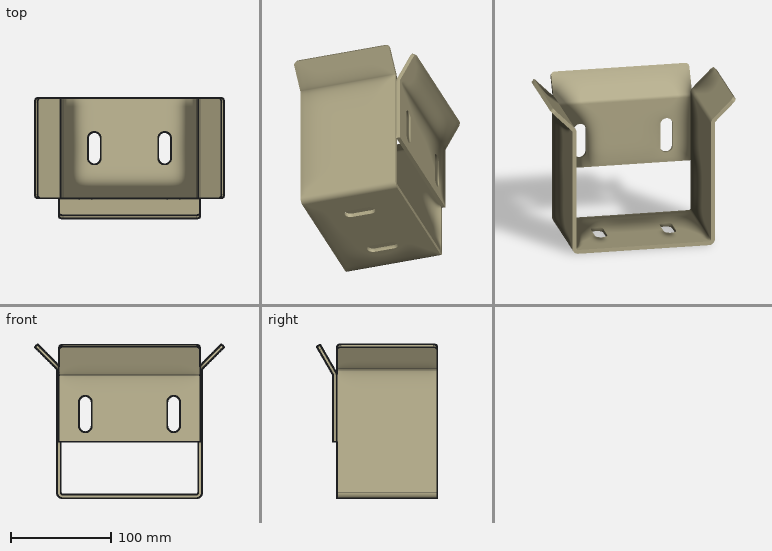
import cadquery as cq
import math

THICKNESS = 4.0
INNER_BEND_RADIUS = 2.0
OUTER_BEND_RADIUS = INNER_BEND_RADIUS + THICKNESS

CRADLE_WIDTH = 144.8
CRADLE_DEPTH = 100.0
TOTAL_HEIGHT = 153.48
CORNER_RADIUS = 4.0

SIDE_LIP_ANGLE = 45.0
SIDE_LIP_LENGTH = 30.16
FRONT_LIP_ANGLE = 30.0
FRONT_LIP_LENGTH = 31.84

PLATE_WIDTH = 140.5
PLATE_BOTTOM_Z = 56.2
PLATE_TOP_Z = 153.1
PLATE_FRONT_Y = -CRADLE_DEPTH / 2 - THICKNESS

SLOT_WIDTH = 12.5
PLATE_SLOT_LENGTH = 36.0
PLATE_SLOT_SPACING = 88.0
PLATE_SLOT_Z = 84.0
FLOOR_SLOT_LENGTH = 32.0
FLOOR_SLOT_SPACING = 70.0


def lip_bend_start(top, angle, length):
    """Height at which a wall starts to bend so that its lip ends at the given top height."""
    tilt = math.radians(angle)
    return top - OUTER_BEND_RADIUS * math.sin(tilt) - length * math.cos(tilt)


def flared_wall(bottom, top, angle, length, width):
    """Upright sheet whose top lip leans towards +X.

    The outer face lies on X = 0, the sheet is centred on Y, and the lip's free corners are rounded.
    """
    tilt = math.radians(angle)
    bend_start = lip_bend_start(top, angle, length)
    bend_axis_x = INNER_BEND_RADIUS

    def bend_point(radius, turn):
        return (bend_axis_x - radius * math.cos(turn), bend_start + radius * math.sin(turn))

    def lip_end(radius):
        x, z = bend_point(radius, tilt)
        return (x + length * math.sin(tilt), z + length * math.cos(tilt))

    wall = (
        cq.Workplane("XZ")
        .moveTo(-THICKNESS, bottom)
        .lineTo(0, bottom)
        .lineTo(0, bend_start)
        .threePointArc(bend_point(INNER_BEND_RADIUS, tilt / 2), bend_point(INNER_BEND_RADIUS, tilt))
        .lineTo(*lip_end(INNER_BEND_RADIUS))
        .lineTo(*lip_end(OUTER_BEND_RADIUS))
        .lineTo(*bend_point(OUTER_BEND_RADIUS, tilt))
        .threePointArc(bend_point(OUTER_BEND_RADIUS, tilt / 2), bend_point(OUTER_BEND_RADIUS, 0))
        .close()
        .extrude(width / 2, both=True)
    )
    lip_direction = cq.Vector(math.sin(tilt), 0, math.cos(tilt))
    lip_end_face = wall.faces(cq.selectors.DirectionMinMaxSelector(lip_direction))
    return lip_end_face.edges("#Y").fillet(CORNER_RADIUS)


def bent_floor():
    """Floor with a rounded bend at each side, up to where the side walls begin."""
    outer = (
        cq.Workplane("XY")
        .box(CRADLE_WIDTH, CRADLE_DEPTH, TOTAL_HEIGHT, centered=(True, True, False))
        .edges("|Y and <Z")
        .fillet(OUTER_BEND_RADIUS)
    )
    cavity = (
        cq.Workplane("XY")
        .workplane(offset=THICKNESS)
        .box(CRADLE_WIDTH - 2 * THICKNESS, CRADLE_DEPTH, TOTAL_HEIGHT, centered=(True, True, False))
        .edges("|Y and <Z")
        .fillet(INNER_BEND_RADIUS)
    )
    bend_zone = cq.Workplane("XY").box(
        CRADLE_WIDTH, CRADLE_DEPTH, OUTER_BEND_RADIUS, centered=(True, True, False)
    )
    return outer.cut(cavity).intersect(bend_zone)


def cradle():
    right_wall = flared_wall(
        OUTER_BEND_RADIUS, TOTAL_HEIGHT, SIDE_LIP_ANGLE, SIDE_LIP_LENGTH, CRADLE_DEPTH
    ).translate((CRADLE_WIDTH / 2, 0, 0))
    floor_slots = (
        cq.Workplane("XY")
        .rarray(FLOOR_SLOT_SPACING, 1, 2, 1)
        .slot2D(FLOOR_SLOT_LENGTH, SLOT_WIDTH, 90)
        .extrude(THICKNESS)
    )
    return bent_floor().cut(floor_slots).union(right_wall).union(right_wall.mirror("YZ"))


def front_plate():
    plate = (
        flared_wall(PLATE_BOTTOM_Z, PLATE_TOP_Z, FRONT_LIP_ANGLE, FRONT_LIP_LENGTH, PLATE_WIDTH)
        .rotate((0, 0, 0), (0, 0, 1), -90)
        .translate((0, PLATE_FRONT_Y, 0))
    )
    slots = (
        cq.Workplane("XZ", origin=(0, PLATE_FRONT_Y, PLATE_SLOT_Z))
        .rarray(PLATE_SLOT_SPACING, 1, 2, 1)
        .slot2D(PLATE_SLOT_LENGTH, SLOT_WIDTH, 90)
        .extrude(-THICKNESS)
    )
    return plate.cut(slots)


result = cradle().union(front_plate())